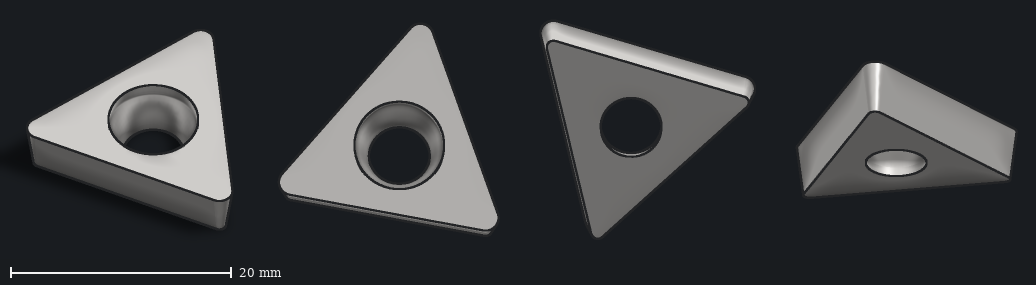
import cadquery as cq
import math

thickness = 4.75
body_width = 20.25
nose_radius = 1.2
relief_angle = 7.0

recess_top_radius = 4.07
recess_bottom_radius = 4.0
recess_depth = 0.9
round_radius = 0.47
seat_angle = math.radians(45)
throat_radius = 5.5 / 2


def make_body():
    """Rounded triangle that narrows downward at the relief angle."""
    nose_center_distance = (body_width - 2 * nose_radius) / math.sqrt(3)
    corners = []
    for angle in (90, 210, 330):
        direction = math.radians(angle)
        x = nose_center_distance * math.cos(direction)
        y = nose_center_distance * math.sin(direction)
        corners.append((x, y))
    outline = cq.Workplane("XY").polyline(corners).close().offset2D(nose_radius)
    body = outline.extrude(thickness, taper=relief_angle)
    return body.mirror("XY").translate((0, 0, thickness))


def arc_point(center, radius, angle):
    """Point on an arc in the hole profile, with the angle measured from outward."""
    return (
        center[0] + radius * math.cos(angle),
        center[1] + radius * math.sin(angle),
    )


def make_hole():
    """Recess, concave round, convex seat and throat, revolved about the Z axis."""
    recess_z = thickness - recess_depth

    round_center = (recess_bottom_radius - round_radius, recess_z)
    round_middle = arc_point(round_center, round_radius, -seat_angle / 2)
    seat_top = arc_point(round_center, round_radius, -seat_angle)

    seat_arc_radius = (seat_top[0] - throat_radius) / (1 - math.cos(seat_angle))
    seat_bottom_z = seat_top[1] - seat_arc_radius * math.sin(seat_angle)
    seat_center = (throat_radius + seat_arc_radius, seat_bottom_z)
    seat_middle = arc_point(seat_center, seat_arc_radius, math.pi - seat_angle / 2)

    profile = (
        cq.Workplane("XZ")
        .moveTo(0, 0)
        .lineTo(throat_radius, 0)
        .lineTo(throat_radius, seat_bottom_z)
        .threePointArc(seat_middle, seat_top)
        .threePointArc(round_middle, (recess_bottom_radius, recess_z))
        .lineTo(recess_top_radius, thickness)
        .lineTo(0, thickness)
        .close()
    )
    return profile.revolve(360, (0, 0, 0), (0, 1, 0))


result = make_body().cut(make_hole())